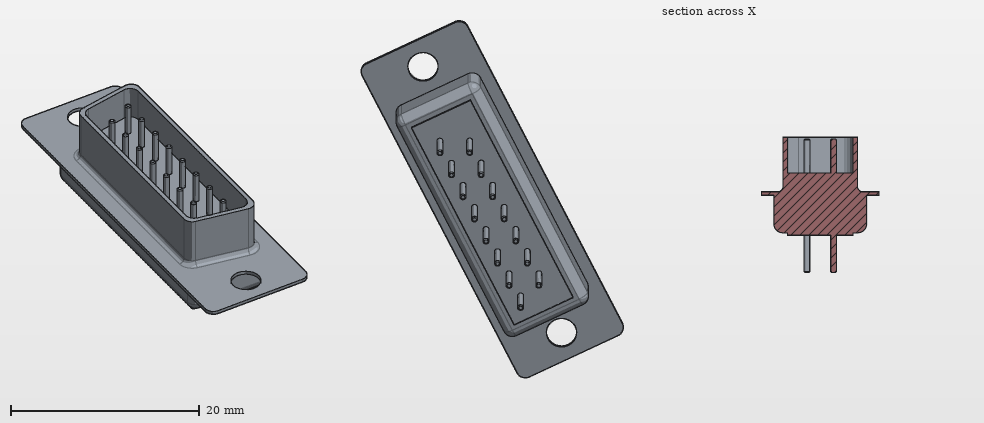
import cadquery as cq
import math

FLANGE_LENGTH = 39.2
FLANGE_WIDTH = 12.5
FLANGE_THICKNESS = 0.4
FLANGE_CORNER_RADIUS = 1.0
MOUNT_HOLE_DIAMETER = 3.2
MOUNT_HOLE_SPACING = 33.3

SHELL_HEIGHT = 5.8
SHELL_DEPTH = 7.92
SHELL_MID_LENGTH = 24.15
SHELL_SIDE_ANGLE = 10.0
SHELL_CORNER_RADIUS = 1.0
SHELL_WALL = 0.5
SHELL_BASE_FILLET = 0.57
CAVITY_CORNER_RADIUS = 1.0
CAVITY_FLOOR_Z = 2.4

BODY_LENGTH = 27.7
BODY_WIDTH = 9.9
BODY_HEIGHT = 4.0
BODY_CORNER_RADIUS = 1.0
BODY_BOTTOM_FILLET = 0.99

PAD_LENGTH = 24.7
PAD_WIDTH = 7.0
PAD_HEIGHT = 0.25

PIN_DIAMETER = 0.64
PIN_PITCH = 2.77
PIN_ROW_SPACING = 2.84
PIN_TAIL = 3.95
PIN_TOP_Z = 6.0
PIN_TIP_CHAMFER = 0.12
BACK_ROW_PINS = 8
FRONT_ROW_PINS = 7

SHELL_TOP_Z = FLANGE_THICKNESS + SHELL_HEIGHT
PAD_BOTTOM_Z = -BODY_HEIGHT - PAD_HEIGHT
PIN_BOTTOM_Z = PAD_BOTTOM_Z - PIN_TAIL


def d_prism(inset, corner_radius, bottom_z, top_z):
    """Prism with the shell's D outline, moved inward by `inset`."""
    lean = math.radians(SHELL_SIDE_ANGLE)
    half_depth = SHELL_DEPTH / 2 - inset
    half_mid = SHELL_MID_LENGTH / 2 - inset / math.cos(lean)
    spread = half_depth * math.tan(lean)
    back = half_mid + spread
    front = half_mid - spread
    outline = [(-back, half_depth), (back, half_depth), (front, -half_depth), (-front, -half_depth)]
    return (
        cq.Workplane("XY", origin=(0, 0, bottom_z))
        .polyline(outline)
        .close()
        .extrude(top_z - bottom_z)
        .edges("|Z")
        .fillet(corner_radius)
    )


def make_flange():
    return (
        cq.Workplane("XY")
        .rect(FLANGE_LENGTH, FLANGE_WIDTH)
        .extrude(FLANGE_THICKNESS)
        .edges("|Z")
        .fillet(FLANGE_CORNER_RADIUS)
    )


def make_flange_with_shell():
    """Flange and solid shell, joined by a fillet around the shell's foot, then hollowed."""
    joined = make_flange().union(d_prism(0, SHELL_CORNER_RADIUS, 0, SHELL_TOP_Z))
    reach_x = MOUNT_HOLE_SPACING / 2
    reach_y = SHELL_DEPTH / 2 + SHELL_BASE_FILLET
    foot = cq.selectors.BoxSelector(
        (-reach_x, -reach_y, FLANGE_THICKNESS / 2),
        (reach_x, reach_y, FLANGE_THICKNESS * 3 / 2),
    )
    filleted = joined.edges(foot).fillet(SHELL_BASE_FILLET)
    hollowed = filleted.cut(d_prism(SHELL_WALL, CAVITY_CORNER_RADIUS, CAVITY_FLOOR_Z, SHELL_TOP_Z))
    holes = (
        cq.Workplane("XY")
        .pushPoints([(-MOUNT_HOLE_SPACING / 2, 0), (MOUNT_HOLE_SPACING / 2, 0)])
        .circle(MOUNT_HOLE_DIAMETER / 2)
        .extrude(FLANGE_THICKNESS)
    )
    return hollowed.cut(holes)


def make_body():
    return (
        cq.Workplane("XY")
        .rect(BODY_LENGTH, BODY_WIDTH)
        .extrude(-BODY_HEIGHT)
        .edges("|Z")
        .fillet(BODY_CORNER_RADIUS)
        .faces("<Z")
        .edges()
        .fillet(BODY_BOTTOM_FILLET)
    )


def make_pad():
    return (
        cq.Workplane("XY", origin=(0, 0, -BODY_HEIGHT))
        .rect(PAD_LENGTH, PAD_WIDTH)
        .extrude(-PAD_HEIGHT)
    )


def make_pin_row(count, y):
    """Row of evenly spaced pins, centred on X = 0, with chamfered tips."""
    first_x = -(count - 1) * PIN_PITCH / 2
    points = [(first_x + i * PIN_PITCH, y) for i in range(count)]
    return (
        cq.Workplane("XY", origin=(0, 0, PIN_BOTTOM_Z))
        .pushPoints(points)
        .circle(PIN_DIAMETER / 2)
        .extrude(PIN_TOP_Z - PIN_BOTTOM_Z)
        .edges("%CIRCLE")
        .chamfer(PIN_TIP_CHAMFER)
    )


result = (
    make_flange_with_shell()
    .union(make_body())
    .union(make_pad())
    .union(make_pin_row(BACK_ROW_PINS, PIN_ROW_SPACING / 2))
    .union(make_pin_row(FRONT_ROW_PINS, -PIN_ROW_SPACING / 2))
)